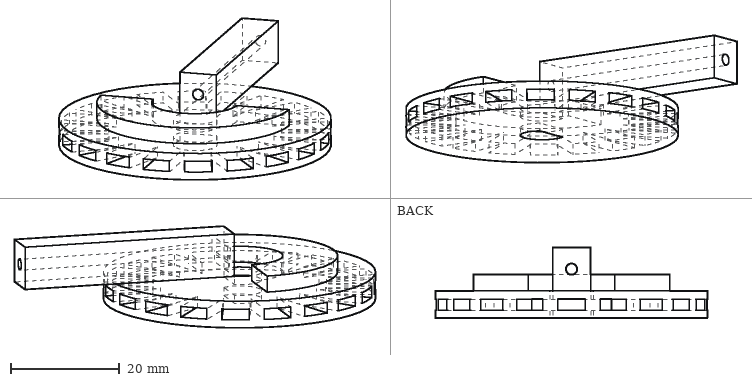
import cadquery as cq

disc_diameter = 50.0
disc_height = 5.0
bore_diameter = 8.05

vent_count = 20
vent_width = 5.0
vent_height = 2.0

weight_outer_diameter = 36.05
weight_inner_diameter = 15.95
weight_height = 3.0

overall_length = 67.0
arm_width = 7.0
arm_height = 8.0
arm_start = 2.0
arm_end = overall_length - disc_diameter / 2
arm_length = arm_end - arm_start
arm_hole_diameter = 2.0


def make_disc():
    """Disc with a D-shaped bore, whose flat lies in the plane of the arm's inner end."""
    disc = cq.Workplane("XY").circle(disc_diameter / 2).extrude(disc_height)
    bore = cq.Workplane("XY").circle(bore_diameter / 2).extrude(disc_height)
    beyond_flat = (
        cq.Workplane("XY")
        .box(bore_diameter, bore_diameter, disc_height, centered=(True, False, False))
        .translate((0, arm_start, 0))
    )
    return disc.cut(bore.cut(beyond_flat))


def cut_vents(disc):
    """Cut the vents at mid height; they merge into an open chamber in the middle."""
    vent = (
        cq.Workplane("XY")
        .box(disc_diameter, vent_width, vent_height)
        .translate((0, 0, disc_height / 2))
    )
    for index in range(vent_count // 2):
        angle = index * 360 / vent_count
        disc = disc.cut(vent.rotate((0, 0, 0), (0, 0, 1), angle))
    return disc


def make_weight():
    outer_radius = weight_outer_diameter / 2
    inner_radius = weight_inner_diameter / 2
    return (
        cq.Workplane("XY", origin=(0, 0, disc_height))
        .moveTo(-outer_radius, 0)
        .threePointArc((0, -outer_radius), (outer_radius, 0))
        .lineTo(inner_radius, 0)
        .threePointArc((0, -inner_radius), (-inner_radius, 0))
        .close()
        .extrude(weight_height)
    )


def make_arm():
    """Arm with a lengthwise hole through the middle of its section."""
    return (
        cq.Workplane("XY", origin=(0, arm_start, disc_height))
        .box(arm_width, arm_length, arm_height, centered=(True, False, False))
        .faces("<Y")
        .workplane(centerOption="CenterOfMass")
        .hole(arm_hole_diameter)
    )


result = cut_vents(make_disc()).union(make_weight()).union(make_arm())